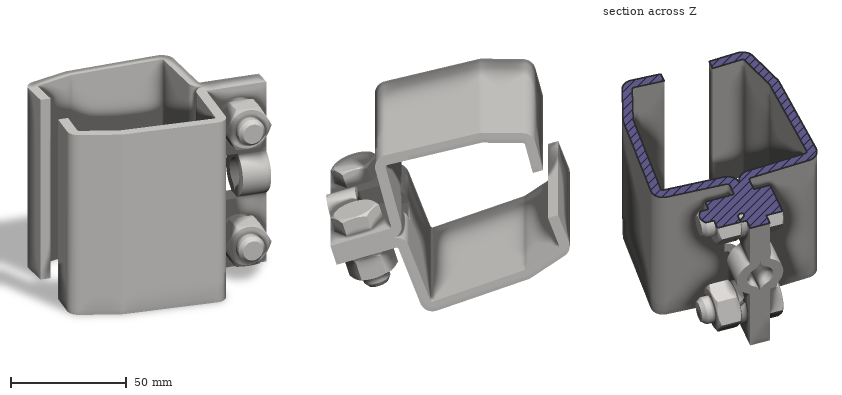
import cadquery as cq
import math

height = 85.0
sheet = 4.6
inner_bend = 1.0
lip_gap = 22.0

flange_length = 26.7
arm_length = 27.08
wall_length = 41.88
slant_length = 17.65
lip_length = 17.8

tilt = 3.0
flange_turn = 90.0 - tilt
wall_turn = -90.0
slant_turn = -15.0
lip_turn = -75.0

eye_bore = 12.0
eye_diameter = eye_bore + 2 * sheet
eye_length = 13.0
window_width = 13.0
window_height = 21.0
window_end = -40.0

bolt_diameter = 12.0
bolt_spacing = 55.2
bolt_y = -eye_length
across_flats = 19.0
head_height = 7.5
washer_diameter = 19.2
washer_thickness = 2.5
washer_split = 1.7
split_angle = 45.0
split_slant = 30.0
nut_height = 10.8
bolt_end_x = 23.5
end_chamfer_length = 2.0
end_chamfer_depth = 1.5
hex_chamfer_angle = 30.0
hex_face_diameter = 0.95 * across_flats


def moved_point(x, y, heading, length):
    """Point reached by moving a length along a heading in degrees."""
    angle = math.radians(heading)
    return x + length * math.cos(angle), y + length * math.sin(angle)


def make_sheet():
    """Right-hand sheet, swept along its middle line."""
    middle_radius = inner_bend + sheet / 2
    straights = [arm_length, wall_length, slant_length, lip_length]
    turns = [flange_turn, wall_turn, slant_turn, lip_turn]

    heading = -90.0
    x, y = moved_point(sheet / 2, 0, heading, flange_length)
    path = cq.Workplane("XY").moveTo(sheet / 2, 0).lineTo(x, y)
    for turn, straight in zip(turns, straights):
        chord = 2 * middle_radius * math.sin(math.radians(abs(turn)) / 2)
        x, y = moved_point(x, y, heading + turn / 2, chord)
        path = path.tangentArcPoint((x, y), relative=False)
        heading += turn
        x, y = moved_point(x, y, heading, straight)
        path = path.lineTo(x, y)

    section = cq.Workplane("XZ").center(sheet / 2, 0).rect(sheet, height)
    return section.sweep(path)


def make_clamp():
    """Both sheets, with the lip ends trimmed to the opening."""
    right = make_sheet()
    clamp = right.union(right.mirror("YZ"))
    opening_y = -(flange_length + wall_length)
    opening = cq.Workplane("XY").box(lip_gap, wall_length, height)
    return clamp.cut(opening.translate((0, opening_y - wall_length / 2, 0)))


def make_eye_bends():
    """Four corner zones between flange and eye, and the bent sheet that fills each of them.

    Each bend is tangent to the flange and to the eye, so its centre lies one inside
    bend radius away from both of their outer faces.
    """
    outer_bend = inner_bend + sheet
    centre_distance = eye_diameter / 2 + inner_bend
    centre_x = outer_bend
    centre_z = math.sqrt(centre_distance ** 2 - centre_x ** 2)

    corners = [(0, 0), (0, centre_z), (centre_x, centre_z)]
    zone = cq.Workplane("XZ").polyline(corners).close().extrude(eye_length)
    curl = cq.Workplane("XZ").center(centre_x, centre_z).circle(outer_bend).circle(inner_bend)
    bend = zone.intersect(curl.extrude(eye_length))
    return mirror_four_ways(zone), mirror_four_ways(bend)


def mirror_four_ways(body):
    """The body with its copies across X = 0 and Z = 0."""
    pair = body.union(body.mirror("YZ"))
    return pair.union(pair.mirror("XY"))


def add_eye(clamp):
    """Window through the flange behind a round eye that the sheets form at the flange edge."""
    window_length = -eye_length - window_end
    window = cq.Workplane("XY").box(window_width, window_length, window_height)
    window = window.translate((0, window_end + window_length / 2, 0))

    zones, bends = make_eye_bends()
    eye = cq.Workplane("XZ").circle(eye_diameter / 2).extrude(eye_length)
    bore = cq.Workplane("XZ").circle(eye_bore / 2).extrude(eye_length)
    return clamp.cut(window).union(eye).cut(bore).cut(zones).union(bends)


def chamfer_cone(face_x, inward):
    """Cone along X that trims hexagon corners at the face, opening in the inward direction."""
    face_radius = hex_face_diameter / 2
    depth = across_flats
    far_radius = face_radius + depth / math.tan(math.radians(hex_chamfer_angle))
    outline = [
        (face_x, 0),
        (face_x, face_radius),
        (face_x + inward * depth, far_radius),
        (face_x + inward * depth, 0),
    ]
    return cq.Workplane("XY").polyline(outline).close().revolve(360, (0, 0, 0), (1, 0, 0))


def hexagon(start_x, length):
    """Hexagonal bar along X with its corners pointing along Y and its flats facing Z."""
    across_corners = across_flats / math.cos(math.radians(30))
    return cq.Workplane("YZ", origin=(start_x, 0, 0)).polygon(6, across_corners).extrude(length)


def make_washer():
    """Spring washer against the flange, with a slanted split."""
    washer = cq.Workplane("YZ", origin=(sheet, 0, 0)).circle(washer_diameter / 2).extrude(washer_thickness)
    split_length = 4 * washer_thickness
    split = cq.Workplane("XY").box(split_length, washer_diameter, washer_split)
    split = split.translate((0, washer_diameter / 2, 0))
    split = split.rotate((0, 0, 0), (0, 1, 0), split_slant)
    split = split.rotate((0, 0, 0), (1, 0, 0), split_angle)
    return washer.cut(split.translate((sheet + washer_thickness / 2, 0, 0)))


def make_fastener():
    """Bolt, spring washer and nut on the X axis."""
    head_x = -sheet - head_height
    head = hexagon(head_x, head_height).intersect(chamfer_cone(head_x, 1))

    nut_x = sheet + washer_thickness
    nut_end_x = nut_x + nut_height
    nut = hexagon(nut_x, nut_height)
    nut = nut.intersect(chamfer_cone(nut_x, 1)).intersect(chamfer_cone(nut_end_x, -1))

    shank = cq.Workplane("YZ", origin=(-sheet, 0, 0)).circle(bolt_diameter / 2).extrude(bolt_end_x + sheet)
    shank = shank.faces(">X").chamfer(end_chamfer_length, end_chamfer_depth)
    return shank.union(make_washer()).union(head).union(nut)


result = add_eye(make_clamp())
for side in (-1, 1):
    result = result.union(make_fastener().translate((0, bolt_y, side * bolt_spacing / 2)))